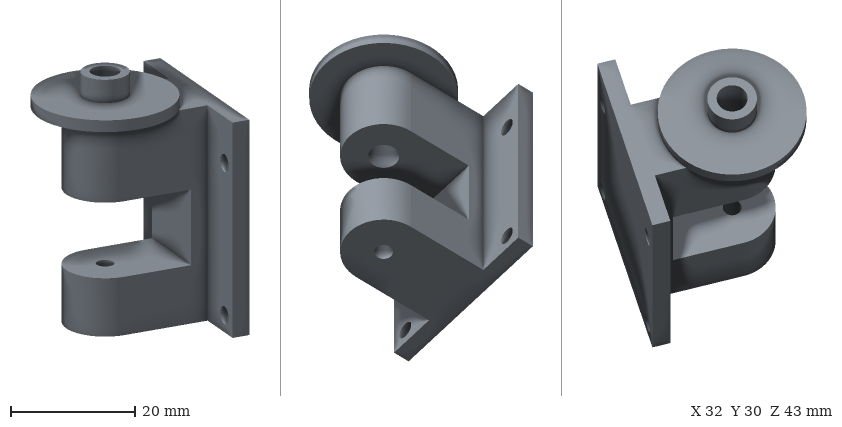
import cadquery as cq

plate_width = 32.0
plate_thickness = 3.0
screw_diameter = 3.0
screw_edge_distance = 2.92
screw_pitch = plate_width - 2 * screw_edge_distance

boss_height = 4.0
flange_thickness = 2.0
total_height = 43.0
flange_top = total_height - boss_height
body_height = flange_top - flange_thickness

arm_width = 14.0
axis_y = -17.97
lower_arm_height = 10.0
gap_height = 13.0
gap_back_y = -6.0
upper_arm_bottom = lower_arm_height + gap_height

flange_diameter = 24.0
boss_diameter = 8.0
upper_bore_diameter = 5.0
lower_bore_diameter = 3.0


def axial_cylinder(diameter, bottom, top):
    """Vertical cylinder on the bore axis between two heights."""
    return (
        cq.Workplane("XY", origin=(0, axis_y, bottom))
        .circle(diameter / 2)
        .extrude(top - bottom)
    )


def mounting_plate():
    """Flat plate with four screw holes, nearer the bottom than the top."""
    plate = cq.Workplane("XY").box(
        plate_width, plate_thickness, body_height, centered=(True, False, False)
    ).translate((0, -plate_thickness, 0))
    screw_x = screw_pitch / 2
    positions = [
        (x, z)
        for x in (-screw_x, screw_x)
        for z in (screw_edge_distance, screw_edge_distance + screw_pitch)
    ]
    holes = (
        cq.Workplane("XZ")
        .pushPoints(positions)
        .circle(screw_diameter / 2)
        .extrude(plate_thickness)
    )
    return plate.cut(holes)


def forked_arms():
    """Round-nosed block split into two arms by an open gap."""
    half_width = arm_width / 2
    block = (
        cq.Workplane("XY")
        .moveTo(-half_width, -plate_thickness)
        .lineTo(-half_width, axis_y)
        .threePointArc((0, axis_y - half_width), (half_width, axis_y))
        .lineTo(half_width, -plate_thickness)
        .close()
        .extrude(body_height)
    )
    gap_depth = gap_back_y - (axis_y - half_width)
    gap = cq.Workplane("XY").box(
        arm_width, gap_depth, gap_height, centered=(True, False, False)
    ).translate((0, gap_back_y - gap_depth, lower_arm_height))
    return block.cut(gap)


flange = axial_cylinder(flange_diameter, body_height, flange_top)
boss = axial_cylinder(boss_diameter, flange_top, total_height)
upper_bore = axial_cylinder(upper_bore_diameter, upper_arm_bottom, total_height)
lower_bore = axial_cylinder(lower_bore_diameter, 0, lower_arm_height)

result = (
    mounting_plate()
    .union(forked_arms())
    .union(flange)
    .union(boss)
    .cut(upper_bore)
    .cut(lower_bore)
)